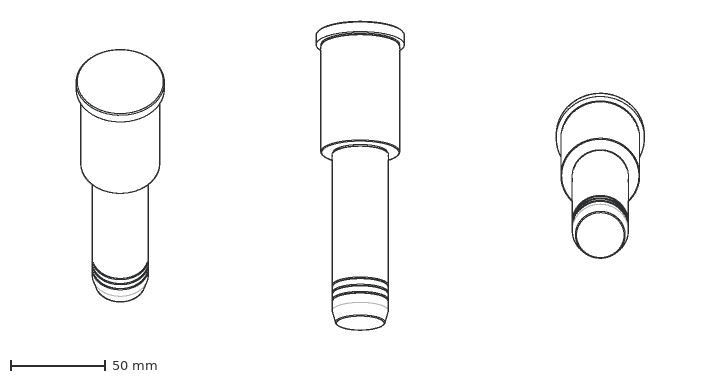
import cadquery as cq
import math

total_height = 161.0
head_diameter = 47.0
body_diameter = 42.0
shaft_diameter = 30.0

head_height = 6.0
body_height = 60.0
tip_height = 7.0
tip_angle = 15.0

head_chamfer = 0.6
body_chamfer = 0.5
tip_chamfer = 0.5

relief_height = 1.0
relief_depth = 0.5

groove_count = 3
groove_pitch = 4.0
groove_width = 1.0
groove_depth = 0.5
lowest_groove_bottom = 12.0

head_bottom = total_height - head_height
body_bottom = head_bottom - body_height
tip_diameter = shaft_diameter - 2 * tip_height * math.tan(math.radians(tip_angle))


def cylinder(diameter, bottom, height):
    """Solid cylinder on the Z axis."""
    return cq.Workplane("XY").workplane(offset=bottom).circle(diameter / 2).extrude(height)


def ring_cutter(diameter, bottom, height, depth):
    """Ring that cuts a groove of the given depth into a cylinder."""
    outer = cylinder(diameter + 2 * depth, bottom, height)
    return outer.cut(cylinder(diameter - 2 * depth, bottom, height))


def v_ring_cutter(diameter, bottom, height, depth):
    """Ring of triangular section that cuts a V groove into a cylinder."""
    radius = diameter / 2
    profile = [(radius, bottom), (radius - depth, bottom + height / 2), (radius, bottom + height)]
    return cq.Workplane("XZ").polyline(profile).close().revolve(360, (0, 0, 0), (0, 1, 0))


head = cylinder(head_diameter, head_bottom, head_height).faces(">Z").edges().chamfer(head_chamfer)

body = cylinder(body_diameter, body_bottom, body_height).faces("<Z").edges().chamfer(body_chamfer)
body = body.cut(v_ring_cutter(body_diameter, head_bottom - relief_height, relief_height, relief_depth))

shaft = cylinder(shaft_diameter, tip_height, body_bottom - tip_height)
shaft = shaft.cut(ring_cutter(shaft_diameter, body_bottom - relief_height, relief_height, relief_depth))
for index in range(groove_count):
    groove_bottom = lowest_groove_bottom + index * groove_pitch
    shaft = shaft.cut(v_ring_cutter(shaft_diameter, groove_bottom, groove_width, groove_depth))

tip = (
    cq.Workplane("XY")
    .circle(tip_diameter / 2)
    .workplane(offset=tip_height)
    .circle(shaft_diameter / 2)
    .loft(ruled=True)
    .faces("<Z")
    .edges()
    .chamfer(tip_chamfer)
)

result = head.union(body).union(shaft).union(tip)